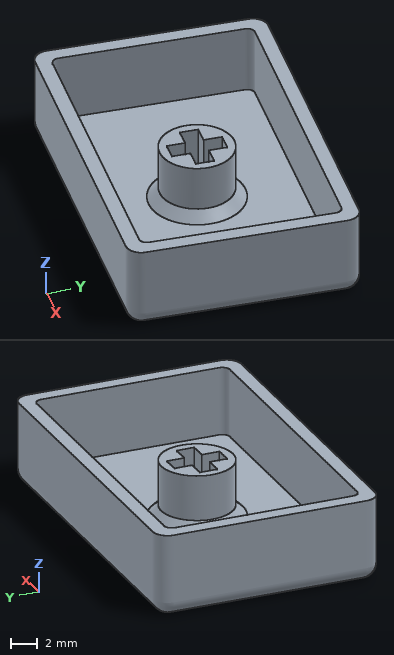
import cadquery as cq

tray_length = 27.575
tray_width = 18.05
tray_height = 6.7
wall_thickness = 1.2
floor_thickness = 1.2
outer_corner_radius = 1.2
inner_corner_radius = 0.6
bottom_edge_radius = 1.195
tray_turn = -0.61

stem_diameter = 5.8
stem_height = 4.5
foot_diameter = 7.5
foot_height = (foot_diameter - stem_diameter) / 2
cross_span = 4.3
cross_arm_width = 1.43
cross_depth = stem_height


def rounded_block(length, width, height, corner_radius):
    """Upright block with rounded vertical edges, standing on Z = 0."""
    block = cq.Workplane("XY").box(length, width, height, centered=(True, True, False))
    return block.edges("|Z").fillet(corner_radius)


def make_tray():
    """Open tray with a rounded underside, turned slightly about Z."""
    outside = rounded_block(tray_length, tray_width, tray_height, outer_corner_radius)
    outside = outside.faces("<Z").edges().fillet(bottom_edge_radius)
    pocket = rounded_block(
        tray_length - 2 * wall_thickness,
        tray_width - 2 * wall_thickness,
        tray_height - floor_thickness,
        inner_corner_radius,
    ).translate((0, 0, floor_thickness))
    return outside.cut(pocket).rotate((0, 0, 0), (0, 0, 1), tray_turn)


def make_stem():
    """Post with a conical foot, revolved about Z, starting on the tray floor."""
    stem_radius = stem_diameter / 2
    stem_top = floor_thickness + stem_height
    return (
        cq.Workplane("XZ")
        .moveTo(0, floor_thickness)
        .lineTo(foot_diameter / 2, floor_thickness)
        .lineTo(stem_radius, floor_thickness + foot_height)
        .lineTo(stem_radius, stem_top)
        .lineTo(0, stem_top)
        .close()
        .revolve(360, (0, 0, 0), (0, 1, 0))
    )


def make_cross_socket():
    """Cross-shaped cutter reaching down from the top of the stem."""
    socket_bottom = floor_thickness + stem_height - cross_depth
    arms = cq.Workplane("XY").workplane(offset=socket_bottom)
    arm_along_x = arms.rect(cross_span, cross_arm_width).extrude(cross_depth)
    arm_along_y = arms.rect(cross_arm_width, cross_span).extrude(cross_depth)
    return arm_along_x.union(arm_along_y)


result = make_tray().union(make_stem()).cut(make_cross_socket())